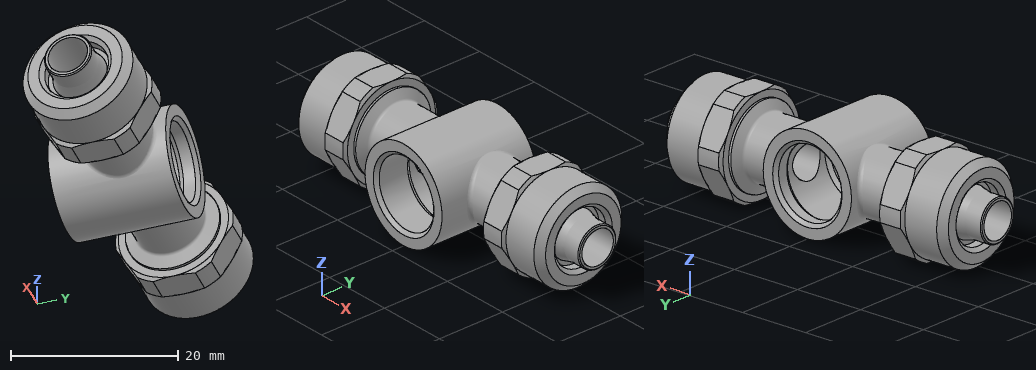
import cadquery as cq
import math

barrel_radius = 7.0
barrel_front_y = -9.0
barrel_back_y = 6.0
bore_radius = 5.0
mouth_chamfer = 0.5
relief_depth = 0.4
relief_flare_length = 0.6
relief_half_length = 4.0

half_length = 25.0
arm_radius = 4.5
arm_fillet = 0.5
shoulder_radius = 6.0
shoulder_width = 0.35
shoulder_slope = 30.0

nut_inner_x = 12.5
hex_width = 3.85
hex_across_flats = 14.0
hex_corner_radius = 7.5
hex_chamfer_slope = 30.0
collar_radius = 7.0
collar_outer_x = 22.4
collar_chamfer = 1.0

socket_radius = 4.05
socket_mouth_radius = 4.6
socket_mouth_depth = 0.55
socket_depth = 1.8
tail_radius = 3.0
tail_root_radius = 3.45
tail_tip_chamfer = 0.15
waterway_radius = 2.5

hex_outer_x = nut_inner_x + hex_width
shoulder_x = nut_inner_x - shoulder_width
shoulder_run = (shoulder_radius - arm_radius) * math.tan(math.radians(shoulder_slope))
shoulder_foot_x = shoulder_x - shoulder_run
socket_floor_x = collar_outer_x - socket_depth
hex_chamfer_run = (hex_corner_radius - hex_across_flats / 2) * math.tan(math.radians(hex_chamfer_slope))


def turned_about_x(points):
    """Revolve a closed outline of (x, radius) points about the X axis."""
    return cq.Workplane("XY").polyline(points).close().revolve(360, (0, 0, 0), (1, 0, 0))


def turned_about_y(points):
    """Revolve a closed outline of (radius, y) points about the Y axis."""
    return cq.Workplane("XY").polyline(points).close().revolve(360, (0, 0, 0), (0, 1, 0))


def barrel_with_arms():
    """Solid sleeve and the plain tube crossing it, blended where they meet."""
    barrel = (
        cq.Workplane("XZ", origin=(0, barrel_back_y, 0))
        .circle(barrel_radius)
        .extrude(barrel_back_y - barrel_front_y)
    )
    tube = cq.Workplane("YZ").circle(arm_radius).extrude(shoulder_foot_x, both=True)
    return barrel.union(tube).edges("not(%CIRCLE or %LINE)").fillet(arm_fillet)


def hexagon():
    """Hexagon with flats facing up and down, its corners turned round and chamfered."""
    flat_radius = hex_across_flats / 2
    point_radius = flat_radius / math.cos(math.pi / 6)
    hex_bar = (
        cq.Workplane("YZ", origin=(nut_inner_x, 0, 0))
        .polygon(6, 2 * point_radius)
        .extrude(hex_width)
    )
    envelope = turned_about_x([
        (nut_inner_x, 0),
        (nut_inner_x, flat_radius),
        (nut_inner_x + hex_chamfer_run, hex_corner_radius),
        (hex_outer_x - hex_chamfer_run, hex_corner_radius),
        (hex_outer_x, flat_radius),
        (hex_outer_x, 0),
    ])
    return hex_bar.intersect(envelope)


def shoulder():
    """Flare from the arm up to the nut, with a rounded foot."""
    rise = math.radians(90 - shoulder_slope)
    tangent = arm_fillet * math.tan(rise / 2)
    arc_start = (shoulder_foot_x - tangent, arm_radius)
    arc_end = (shoulder_foot_x + tangent * math.cos(rise), arm_radius + tangent * math.sin(rise))
    arc_middle = (
        arc_start[0] + arm_fillet * math.sin(rise / 2),
        arm_radius + arm_fillet * (1 - math.cos(rise / 2)),
    )
    return (
        cq.Workplane("XY")
        .moveTo(arc_start[0], 0)
        .lineTo(*arc_start)
        .threePointArc(arc_middle, arc_end)
        .lineTo(shoulder_x, shoulder_radius)
        .lineTo(hex_outer_x, shoulder_radius)
        .lineTo(hex_outer_x, 0)
        .close()
        .revolve(360, (0, 0, 0), (1, 0, 0))
    )


def collar_and_tail():
    """Collar with its chamfered socket, and the hose tail tapering up from the socket floor."""
    return turned_about_x([
        (nut_inner_x, 0),
        (nut_inner_x, shoulder_radius),
        (hex_outer_x, collar_radius),
        (collar_outer_x - collar_chamfer, collar_radius),
        (collar_outer_x, collar_radius - collar_chamfer),
        (collar_outer_x, socket_mouth_radius),
        (collar_outer_x - socket_mouth_depth, socket_radius),
        (socket_floor_x, socket_radius),
        (socket_floor_x, tail_root_radius),
        (collar_outer_x, tail_radius),
        (half_length - tail_tip_chamfer, tail_radius),
        (half_length, tail_radius - tail_tip_chamfer),
        (half_length, 0),
    ])


def barrel_bore():
    """Through bore with chamfered mouths and a shallow flared relief around the arms."""
    mouth_radius = bore_radius + mouth_chamfer
    relief_radius = bore_radius + relief_depth
    relief_floor_y = relief_half_length - relief_flare_length
    return turned_about_y([
        (0, barrel_front_y),
        (mouth_radius, barrel_front_y),
        (bore_radius, barrel_front_y + mouth_chamfer),
        (bore_radius, -relief_half_length),
        (relief_radius, -relief_floor_y),
        (relief_radius, relief_floor_y),
        (bore_radius, relief_half_length),
        (bore_radius, barrel_back_y - mouth_chamfer),
        (mouth_radius, barrel_back_y),
        (0, barrel_back_y),
    ])


fitting = shoulder().union(hexagon()).union(collar_and_tail())
waterway = cq.Workplane("YZ").circle(waterway_radius).extrude(half_length, both=True)

result = (
    barrel_with_arms()
    .union(fitting)
    .union(fitting.mirror("YZ"))
    .cut(barrel_bore())
    .cut(waterway)
)